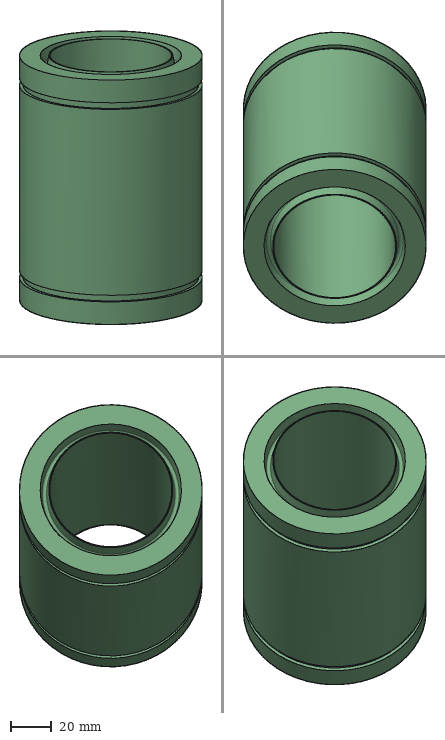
import cadquery as cq

length = 125.0
outer_radius = 90.0 / 2
bore_radius = 60.0 / 2

groove_radius = 86.5 / 2
groove_width = 3.4
groove_inset = 11.6

channel_outer_radius = 34.8
channel_inner_radius = 30.5
floor_outer_radius = 33.8
floor_inner_radius = 31.6
channel_wall_depth = 5.6
floor_sag = 0.9


def sleeve():
    return cq.Workplane("XY").circle(outer_radius).circle(bore_radius).extrude(length)


def outer_groove(bottom):
    return (
        cq.Workplane("XY")
        .workplane(offset=bottom)
        .circle(outer_radius)
        .circle(groove_radius)
        .extrude(groove_width)
    )


def end_channel(face_height, inward):
    """Channel cut from an end face; inward is -1 or +1 along Z."""
    floor_edge = face_height + inward * channel_wall_depth
    floor_bottom = floor_edge + inward * floor_sag
    floor_middle_radius = (floor_outer_radius + floor_inner_radius) / 2
    return (
        cq.Workplane("XZ")
        .moveTo(channel_outer_radius, face_height)
        .lineTo(floor_outer_radius, floor_edge)
        .threePointArc((floor_middle_radius, floor_bottom), (floor_inner_radius, floor_edge))
        .lineTo(channel_inner_radius, face_height)
        .close()
        .revolve(360, (0, 0, 0), (0, 1, 0))
    )


result = sleeve()
for groove_bottom in (groove_inset, length - groove_inset - groove_width):
    result = result.cut(outer_groove(groove_bottom))
for face_height, inward in ((0, 1), (length, -1)):
    result = result.cut(end_channel(face_height, inward))